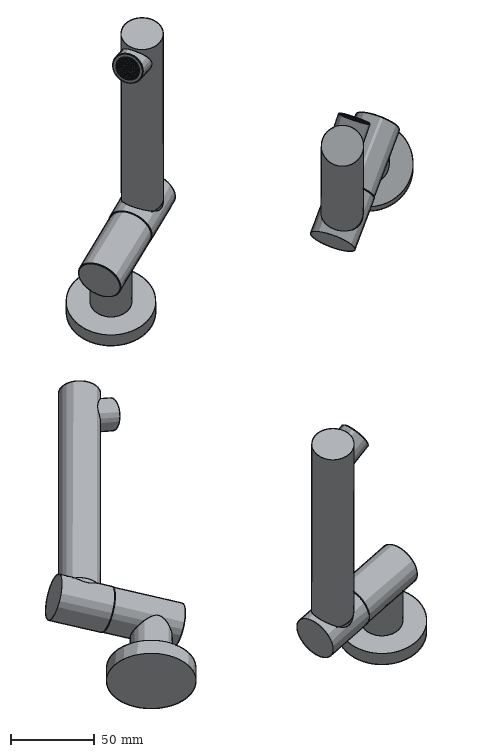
import cadquery as cq
import math

flange_diameter = 54.0
flange_height = 10.0
post_diameter = 25.3

arm_diameter = 28.0
swivel_diameter = 28.6
arm_height = 46.95
arm_front = -17.0
arm_joint = 28.6
arm_back = 62.61
end_chamfer = 0.4

spout_diameter = 25.5
spout_y = 46.1
spout_top = 206.93
spout_bottom = 56.5
swivel_turn = -0.08

nozzle_diameter = 20.0
nozzle_tilt = 20.0
nozzle_reach = 22.5
nozzle_height = 189.4
nozzle_chamfer = 0.4

aerator_diameter = 15.4
aerator_thickness = 3.0
aerator_hole_diameter = 0.8
aerator_ring_pitch = 1.35
aerator_ring_count = 5
holes_per_ring_step = 6


def upright_cylinder(diameter, y, bottom, top):
    """Solid cylinder on a vertical axis."""
    plane = cq.Workplane("XY", origin=(0, y, bottom))
    return plane.circle(diameter / 2).extrude(top - bottom)


def arm_cylinder(diameter, front, back):
    """Solid cylinder on the axis of the horizontal arm."""
    plane = cq.Workplane("XZ", origin=(0, back, arm_height))
    return plane.circle(diameter / 2).extrude(back - front)


def nozzle_plane(distance):
    """Workplane across the nozzle axis, at a distance from the spout axis."""
    tilt = math.radians(nozzle_tilt)
    direction = cq.Vector(0, -math.cos(tilt), math.sin(tilt))
    origin = cq.Vector(0, spout_y, nozzle_height) + direction * distance
    return cq.Workplane(cq.Plane(origin=origin, xDir=(1, 0, 0), normal=direction))


def turned(body):
    """Body turned with the swivel about the arm axis."""
    return body.rotate((0, 0, arm_height), (0, 1, arm_height), swivel_turn)


def make_flange():
    return upright_cylinder(flange_diameter, 0, 0, flange_height)


def make_arm_body():
    return arm_cylinder(arm_diameter, arm_front, arm_joint).faces("<Y or >Y").chamfer(end_chamfer)


def make_post(arm_body):
    return upright_cylinder(post_diameter, 0, flange_height, arm_height).cut(arm_body)


def make_spout():
    return upright_cylinder(spout_diameter, spout_y, spout_bottom, spout_top)


def make_swivel(spout):
    """Rear part of the arm, with a short round seat on which the spout stands."""
    seat = upright_cylinder(spout_diameter, spout_y, arm_height, spout_bottom)
    return arm_cylinder(swivel_diameter, arm_joint, arm_back).union(seat).cut(spout)


def ring_points(radius, count):
    """Points spaced evenly round a circle, the first straight above its centre."""
    angles = [2 * math.pi * i / count for i in range(count)]
    return [(radius * math.sin(angle), radius * math.cos(angle)) for angle in angles]


def make_aerator():
    """Disc pierced by a central hole and rings of small holes, each ring with six more than the last."""
    disc_plane = nozzle_plane(nozzle_reach - aerator_thickness)
    disc = disc_plane.circle(aerator_diameter / 2).extrude(aerator_thickness)
    centres = [(0, 0)]
    for ring in range(1, aerator_ring_count + 1):
        centres += ring_points(ring * aerator_ring_pitch, ring * holes_per_ring_step)
    holes = disc_plane.pushPoints(centres).circle(aerator_hole_diameter / 2).extrude(aerator_thickness)
    return disc.cut(holes)


def make_nozzle(spout):
    tube = nozzle_plane(0).circle(nozzle_diameter / 2).extrude(nozzle_reach)
    tube = tube.faces("<Y").chamfer(nozzle_chamfer)
    mouth_plane = nozzle_plane(nozzle_reach - aerator_thickness)
    mouth = mouth_plane.circle(aerator_diameter / 2).extrude(aerator_thickness)
    return tube.cut(spout).cut(mouth)


flange = make_flange()
arm_body = make_arm_body()
post = make_post(arm_body)
spout = make_spout()
swivel = make_swivel(spout)
nozzle = make_nozzle(spout)
aerator = make_aerator()

fixed_bodies = [flange, post, arm_body]
turned_bodies = [turned(body) for body in (swivel, spout, nozzle, aerator)]
result = cq.Compound.makeCompound([body.val() for body in fixed_bodies + turned_bodies])